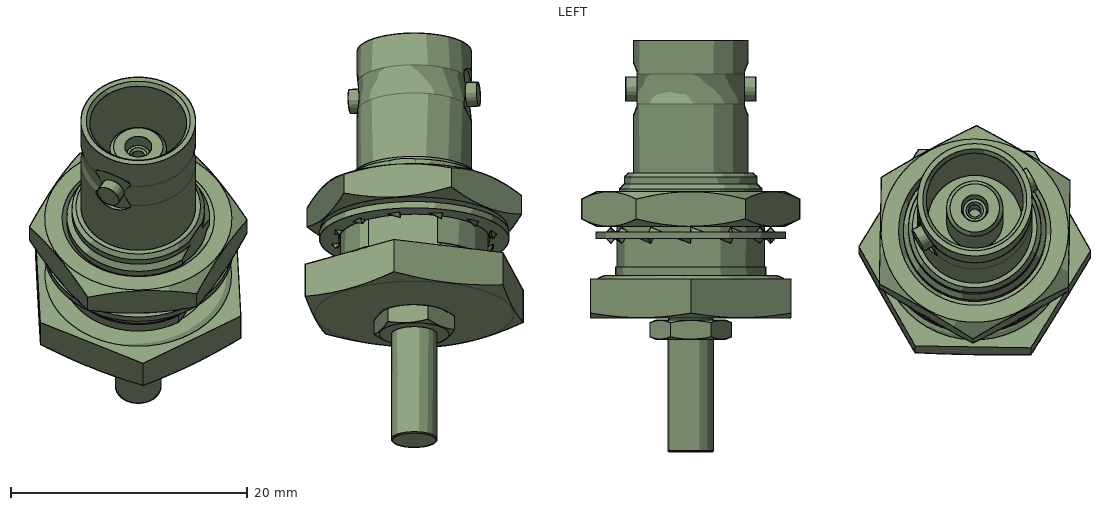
import cadquery as cq
import math


barrel_radius = 4.86
barrel_top = 20.21
groove_centre = 16.09
groove_half_width = 1.26
groove_depth = 0.16
pin_radius = 1.03
pin_tip = 5.52
spotface_radius = 2.23
spotface_offset = 4.57

mouth_radius = 4.4
mouth_chamfer = 0.3
socket_floor_radius = 4.0
socket_depth = 9.0
dielectric_radius = 2.39
dielectric_chamfer = 0.3
dielectric_top = 16.83
contact_hole_radius = 1.14
contact_hole_depth = 4.0
contact_radius = 0.98
contact_recess = 1.0
contact_bore_radius = 0.53
contact_bore_depth = 2.0
contact_countersink = 0.2

collar_top = 8.99
collar_radius = 5.62
collar_chamfer = 0.35
collar_base = 8.06
shank_end_radius = 6.05
shank_radius = 6.26
shoulder_radius = 6.37
shoulder_height = 1.03
flat_offset = 5.51

flange_across_flats = 17.0
flange_height = 3.31
flange_chamfer_radius = 8.4
flange_chamfer_drop = 0.42
ring_inner_radius = 6.1
ring_outer_radius = 7.9
ring_height = 0.31

neck_radius = 1.87
neck_length = 0.18
rear_hex_across_flats = 6.0
rear_hex_height = 1.63
rear_hex_chamfer_radius = 2.95
rear_hex_chamfer_drop = 0.22
tube_radius = 1.94
tube_bottom = -14.64
tube_chamfer = 0.1

nut_across_flats = 16.0
nut_bottom = 4.42
nut_top = 7.42
nut_chamfer_radius = 7.93
nut_chamfer_drop = 0.66
nut_bore_radius = 5.85
nut_mouth_radius = 6.45

washer_radius = 8.03
washer_bottom = 3.41
washer_top = 3.98
tooth_count = 12
tooth_apex_radius = 6.76
tooth_half_width = 0.36
tooth_height = 0.4
tooth_length = 1.1
washer_bore_radius = tooth_apex_radius - tooth_half_width

shank_end = collar_base - (shank_end_radius - collar_radius)
nut_mouth_depth = nut_mouth_radius - nut_bore_radius
rear_hex_top = -flange_height - neck_length
rear_hex_bottom = rear_hex_top - rear_hex_height
socket_floor = barrel_top - socket_depth
contact_top = dielectric_top - contact_recess


def cylinder(radius, bottom, top):
    return cq.Workplane("XY").workplane(offset=bottom).circle(radius).extrude(top - bottom)


def revolve_profile(profile):
    """Revolve a half profile drawn as (radius, height) about the Z axis."""
    return profile.close().revolve(360, (0, 0, 0), (0, 1, 0))


def hexagon(across_flats, bottom, top, corner_angle):
    """Hexagonal prism with one corner at corner_angle degrees from +X."""
    across_corners = across_flats / math.cos(math.pi / 6)
    prism = cq.Workplane("XY").workplane(offset=bottom).polygon(6, across_corners).extrude(top - bottom)
    return prism.rotate((0, 0, 0), (0, 0, 1), corner_angle)


def chamfered_hexagon(across_flats, bottom, top, corner_angle, face_radius, drop, both_ends):
    """Hexagon whose corners are turned off conically at the bottom, or at both ends."""
    corner_radius = across_flats / 2 / math.cos(math.pi / 6)
    blank = cq.Workplane("XZ").moveTo(0, bottom).lineTo(face_radius, bottom)
    blank = blank.lineTo(corner_radius, bottom + drop)
    if both_ends:
        blank = blank.lineTo(corner_radius, top - drop)
        blank = blank.lineTo(face_radius, top)
    else:
        blank = blank.lineTo(corner_radius, top)
    blank = revolve_profile(blank.lineTo(0, top))
    return hexagon(across_flats, bottom, top, corner_angle).intersect(blank)


def make_barrel():
    """Turned barrel with a shallow arc groove level with the bayonet pins."""
    return revolve_profile(
        cq.Workplane("XZ")
        .moveTo(0, 0)
        .lineTo(barrel_radius, 0)
        .lineTo(barrel_radius, groove_centre - groove_half_width)
        .threePointArc(
            (barrel_radius - groove_depth, groove_centre),
            (barrel_radius, groove_centre + groove_half_width),
        )
        .lineTo(barrel_radius, barrel_top)
        .lineTo(0, barrel_top)
    )


def make_shank():
    """Threaded shank, turned down to the nut bore where the nut engages it."""
    engaged_top = nut_top - nut_mouth_depth
    end_seat = engaged_top + shank_end_radius - nut_bore_radius
    shank = revolve_profile(
        cq.Workplane("XZ")
        .moveTo(0, 0)
        .lineTo(shoulder_radius, 0)
        .lineTo(shoulder_radius, shoulder_height)
        .lineTo(shank_radius, shoulder_height)
        .lineTo(shank_radius, nut_bottom)
        .lineTo(nut_bore_radius, nut_bottom)
        .lineTo(nut_bore_radius, engaged_top)
        .lineTo(shank_end_radius, end_seat)
        .lineTo(shank_end_radius, shank_end)
        .lineTo(collar_radius, collar_base)
        .lineTo(collar_radius, collar_top - collar_chamfer)
        .lineTo(collar_radius - collar_chamfer, collar_top)
        .lineTo(0, collar_top)
    )
    kept_width = flat_offset + shoulder_radius
    kept = cq.Workplane("XY").box(
        kept_width, 2 * shoulder_radius, collar_top, centered=(False, True, False)
    )
    return shank.intersect(kept.translate((-shoulder_radius, 0, 0)))


def make_flange():
    """Hexagonal flange carrying the rounded crown of the seated O-ring."""
    flange = chamfered_hexagon(
        flange_across_flats, -flange_height, 0, 0, flange_chamfer_radius, flange_chamfer_drop, False
    )
    ring_middle_radius = (ring_inner_radius + ring_outer_radius) / 2
    ring = revolve_profile(
        cq.Workplane("XZ")
        .moveTo(ring_inner_radius, 0)
        .threePointArc((ring_middle_radius, ring_height), (ring_outer_radius, 0))
    )
    return flange.union(ring)


def make_rear():
    """Neck, small hexagon and crimp tube below the flange."""
    neck = cylinder(neck_radius, rear_hex_top, -flange_height)
    rear_hex = chamfered_hexagon(
        rear_hex_across_flats, rear_hex_bottom, rear_hex_top, 90,
        rear_hex_chamfer_radius, rear_hex_chamfer_drop, True,
    )
    tube = cylinder(tube_radius, tube_bottom, rear_hex_bottom).faces("<Z").chamfer(tube_chamfer)
    return neck.union(rear_hex).union(tube)


def make_socket():
    """Tapered socket cavity with a chamfered mouth."""
    return revolve_profile(
        cq.Workplane("XZ")
        .moveTo(0, socket_floor)
        .lineTo(socket_floor_radius, socket_floor)
        .lineTo(mouth_radius - mouth_chamfer, barrel_top - mouth_chamfer)
        .lineTo(mouth_radius, barrel_top)
        .lineTo(0, barrel_top)
    )


def make_dielectric():
    """Chamfered insulator post with the recessed, hollow centre contact."""
    post = cylinder(dielectric_radius, socket_floor, dielectric_top).faces(">Z").chamfer(dielectric_chamfer)
    hole_bottom = dielectric_top - contact_hole_depth
    post = post.cut(cylinder(contact_hole_radius, hole_bottom, dielectric_top))
    contact = cylinder(contact_radius, hole_bottom, contact_top)
    contact = contact.cut(cylinder(contact_bore_radius, contact_top - contact_bore_depth, contact_top))
    bore_rim = contact.faces(">Z").edges(cq.selectors.RadiusNthSelector(0))
    return post.union(bore_rim.chamfer(contact_countersink))


def add_bayonet_pins(body):
    """Cut a flat seat in the barrel on the -Y and +Y sides and set a pin in each seat."""
    for side in (-1, 1):
        seat = cq.Workplane("XZ", origin=(0, side * spotface_offset, groove_centre))
        body = body.cut(seat.circle(spotface_radius).extrude(-side * (pin_tip - spotface_offset)))
        root = cq.Workplane("XZ", origin=(0, side * (mouth_radius - mouth_chamfer), groove_centre))
        pin_length = pin_tip - mouth_radius + mouth_chamfer
        body = body.union(root.circle(pin_radius).extrude(-side * pin_length))
    return body


def make_connector():
    body = make_barrel().union(make_shank()).union(make_flange()).union(make_rear())
    body = add_bayonet_pins(body)
    return body.cut(make_socket()).union(make_dielectric())


def make_nut():
    """Hexagonal nut with a bore countersunk at both ends."""
    nut = chamfered_hexagon(
        nut_across_flats, nut_bottom, nut_top, 90, nut_chamfer_radius, nut_chamfer_drop, True
    )
    bore = revolve_profile(
        cq.Workplane("XZ")
        .moveTo(0, nut_bottom)
        .lineTo(nut_mouth_radius, nut_bottom)
        .lineTo(nut_bore_radius, nut_bottom + nut_mouth_depth)
        .lineTo(nut_bore_radius, nut_top - nut_mouth_depth)
        .lineTo(nut_mouth_radius, nut_top)
        .lineTo(0, nut_top)
    )
    return nut.cut(bore)


def make_tooth(face_height, direction):
    """Pointed tooth at +X on a washer face: +1 rises and ramps to +Y, -1 falls and ramps to -Y."""
    inner = (tooth_apex_radius - tooth_half_width, 0, face_height)
    outer = (tooth_apex_radius + tooth_half_width, 0, face_height)
    apex = (tooth_apex_radius, 0, face_height + direction * tooth_height)
    tail = (tooth_apex_radius, direction * tooth_length, face_height)
    triangles = [(inner, outer, apex), (inner, apex, tail), (outer, tail, apex), (inner, tail, outer)]
    faces = []
    for triangle in triangles:
        corners = [cq.Vector(*point) for point in triangle]
        faces.append(cq.Face.makeFromWires(cq.Wire.makePolygon(corners, close=True)))
    return cq.Solid.makeSolid(cq.Shell.makeShell(faces))


def make_washer():
    """Flat ring with a circle of pointed teeth on each face."""
    washer = cylinder(washer_radius, washer_bottom, washer_top)
    washer = washer.cut(cylinder(washer_bore_radius, washer_bottom, washer_top))
    for face_height, direction in ((washer_top, 1), (washer_bottom, -1)):
        tooth = make_tooth(face_height, direction)
        for index in range(tooth_count):
            turned = tooth.rotate(cq.Vector(0, 0, 0), cq.Vector(0, 0, 1), index * 360 / tooth_count)
            washer = washer.union(cq.Workplane(turned))
    return washer


connector = make_connector()
nut = make_nut()
washer = make_washer()

result = cq.Compound.makeCompound([connector.solids().val(), nut.solids().val(), washer.solids().val()])